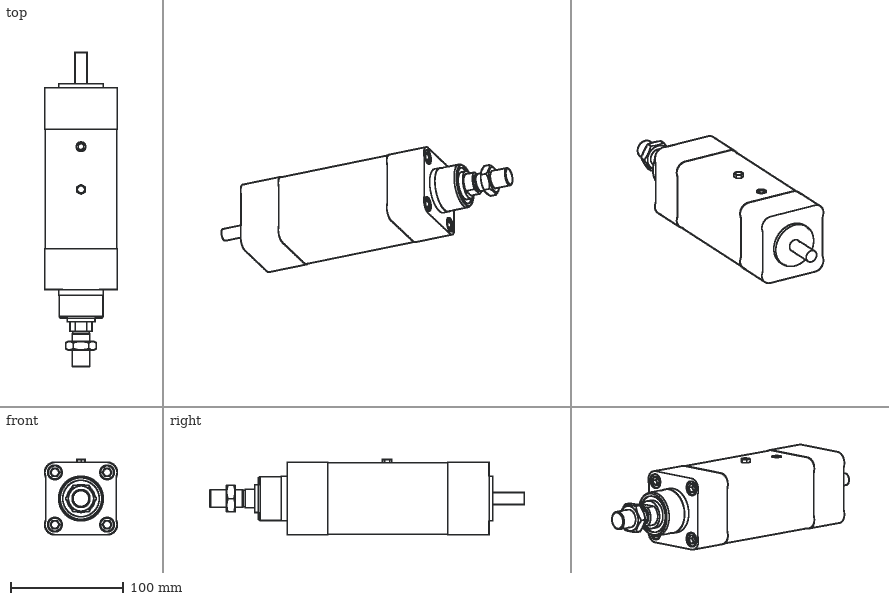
import cadquery as cq
import math


front_cap_length = 36.5
barrel_length = 106.8
rear_cap_length = 37.0
barrel_front_y = front_cap_length
barrel_rear_y = barrel_front_y + barrel_length
rear_face_y = barrel_rear_y + rear_cap_length

cap_width = 65.0
overall_height = 67.5
barrel_width = 64.0
screw_offset = 23.3
side_recess = 0.8
lobe_blend_radius = 4.0

screw_head_diameter = 13.0
screw_head_recess = 0.8
screw_head_chamfer = 0.5
screw_hex_flats = 7.3
screw_hex_depth = 4.0
screw_drill_diameter = 6.7
drill_point_angle = 118

collar_diameter = 40.0
nose_base_length = 5.0
nose_diameter = 39.3
nose_length = 25.5
nose_chamfer_width = 1.0
nose_chamfer_length = 1.7
wiper_recess_diameter = 32.5
wiper_recess_depth = 0.8

rear_collar_length = 3.5
shaft_diameter = 11.0
shaft_length = 28.0

plug_y = 127.5
plug_diameter = 8.5
plug_recess = 0.8
plug_hole_diameter = 5.3
plug_hole_depth = 2.2
nipple_y = 89.4
nipple_flats = 7.3
nipple_turn = 30
nipple_height = overall_height - (cap_width + barrel_width) / 2
nipple_mouth_diameter = 6.5

rod_diameter = 25.0
rod_shoulder = 29.0
wrench_diameter = 20.0
wrench_flats = 17.0
wrench_end = 37.5
neck_diameter = 15.0
neck_end = 39.0
thread_diameter = 16.0
thread_end = 69.0
thread_chamfer = 0.8

nut_flats = 24.0
nut_start = 46.0
nut_thickness = 8.1
nut_face_diameter = 22.5
nut_chamfer_angle = 30


def cylinder_y(diameter, y_start, y_end):
    """Round bar on the Y axis between two Y positions."""
    plane = cq.Workplane("XZ", origin=(0, y_end, 0))
    return plane.circle(diameter / 2).extrude(y_end - y_start)


def hex_corners(flats):
    """Diameter of the circle through the corners of a hexagon."""
    return flats / math.cos(math.pi / 6)


def drill_point(diameter, centre, direction):
    """Cone of a drill tip, with its base circle at the centre and its tip along the direction."""
    radius = diameter / 2
    depth = radius / math.tan(math.radians(drill_point_angle / 2))
    cone = cq.Solid.makeCone(radius, 0, depth, cq.Vector(*centre), cq.Vector(*direction))
    return cq.Workplane("XY").add(cone)


def housing_block(width, y_start, y_end):
    """Square block with corner lobes that bulge past the left and right flats."""
    length = y_end - y_start
    half_width = width / 2
    half_flat = half_width - side_recess
    lobe_radius = half_width - screw_offset
    plane = cq.Workplane("XZ", origin=(0, y_end, 0))
    block = plane.rect(2 * half_flat, 2 * screw_offset).extrude(length)
    block = block.union(plane.rect(2 * screw_offset, width).extrude(length))
    lobes = plane.rect(2 * screw_offset, 2 * screw_offset, forConstruction=True).vertices()
    block = block.union(lobes.circle(lobe_radius).extrude(length))

    lobe_edge_z = screw_offset - math.sqrt(lobe_radius**2 - (half_flat - screw_offset) ** 2)
    tolerance = 0.03
    notch = cq.selectors.BoxSelector(
        (-half_flat - tolerance, y_start, -lobe_edge_z - tolerance),
        (half_flat + tolerance, y_end, lobe_edge_z + tolerance),
    )
    return block.edges("|Y").edges(notch).fillet(lobe_blend_radius)


def make_front_cap():
    cap = housing_block(cap_width, 0, front_cap_length)
    cap = cap.union(cylinder_y(collar_diameter, -nose_base_length, 0))
    nose = cylinder_y(nose_diameter, -nose_length, 0)
    cap = cap.union(nose.faces("<Y").chamfer(nose_chamfer_length, nose_chamfer_width))
    cap = cap.cut(cylinder_y(wiper_recess_diameter, -nose_length, wiper_recess_depth - nose_length))
    cap = cap.cut(cylinder_y(rod_diameter, -nose_length, front_cap_length))
    return cut_screw_heads(cap)


def cut_screw_heads(cap):
    """Bevelled round recess over a hexagon socket with a conical bottom, on each screw axis."""
    recess = cylinder_y(screw_head_diameter, 0, screw_head_recess)
    recess = recess.faces(">Y").chamfer(screw_head_chamfer)
    socket_end = screw_head_recess + screw_hex_depth
    socket_plane = cq.Workplane("XZ", origin=(0, socket_end, 0))
    socket = socket_plane.polygon(6, hex_corners(screw_hex_flats)).extrude(screw_hex_depth)
    point = drill_point(screw_drill_diameter, (0, socket_end, 0), (0, 1, 0))
    screw_head = recess.union(socket).union(point)
    for x in (-screw_offset, screw_offset):
        for z in (-screw_offset, screw_offset):
            cap = cap.cut(screw_head.translate((x, 0, z)))
    return cap


def make_barrel():
    barrel = housing_block(barrel_width, barrel_front_y, barrel_rear_y)
    top_z = barrel_width / 2

    plug_plane = cq.Workplane("XY", origin=(0, plug_y, top_z))
    barrel = barrel.cut(plug_plane.circle(plug_diameter / 2).extrude(-plug_recess))
    plug_hole = plug_plane.circle(plug_hole_diameter / 2)
    barrel = barrel.cut(plug_hole.extrude(-plug_recess - plug_hole_depth))

    nipple_top_z = top_z + nipple_height
    nipple_plane = cq.Workplane("XY", origin=(0, nipple_y, top_z))
    nipple = nipple_plane.polygon(6, hex_corners(nipple_flats)).extrude(nipple_height)
    nipple = nipple.rotate((0, nipple_y, 0), (0, nipple_y, 1), nipple_turn)
    funnel = drill_point(nipple_mouth_diameter, (0, nipple_y, nipple_top_z), (0, 0, -1))
    return barrel.union(nipple).cut(funnel)


def make_rear_cap():
    collar_y = rear_face_y + rear_collar_length
    cap = housing_block(cap_width, barrel_rear_y, rear_face_y)
    cap = cap.union(cylinder_y(collar_diameter, rear_face_y, collar_y))
    return cap.union(cylinder_y(shaft_diameter, collar_y, collar_y + shaft_length))


def make_piston_rod():
    rod = cylinder_y(rod_diameter, -rod_shoulder, front_cap_length)
    wrench_length = wrench_end - rod_shoulder
    wrench_centre_y = -(rod_shoulder + wrench_end) / 2
    flats = cq.Workplane("XY").box(wrench_diameter, wrench_length, wrench_flats)
    wrench = cylinder_y(wrench_diameter, -wrench_end, -rod_shoulder)
    rod = rod.union(wrench.intersect(flats.translate((0, wrench_centre_y, 0))))
    rod = rod.union(cylinder_y(neck_diameter, -neck_end, -wrench_end))
    thread = cylinder_y(thread_diameter, -thread_end, -neck_end)
    return rod.union(thread.faces("<Y or >Y").chamfer(thread_chamfer))


def make_lock_nut():
    """Hexagon nut whose corners are turned off by a cone at both faces."""
    nut_end = nut_start + nut_thickness
    corner_radius = hex_corners(nut_flats) / 2
    face_radius = nut_face_diameter / 2
    chamfer_length = (corner_radius - face_radius) * math.tan(math.radians(nut_chamfer_angle))
    plane = cq.Workplane("XZ", origin=(0, -nut_start, 0))
    nut = plane.polygon(6, 2 * corner_radius).extrude(nut_thickness)
    turned = cylinder_y(2 * corner_radius, -nut_end, -nut_start)
    turned = turned.faces("<Y or >Y").chamfer(chamfer_length, corner_radius - face_radius)
    return nut.intersect(turned).cut(cylinder_y(thread_diameter, -nut_end, -nut_start))


front_cap = make_front_cap()
barrel = make_barrel()
rear_cap = make_rear_cap()
piston_rod = make_piston_rod()
lock_nut = make_lock_nut()

result = cq.Compound.makeCompound(
    [front_cap.val(), barrel.val(), rear_cap.val(), piston_rod.val(), lock_nut.val()]
)